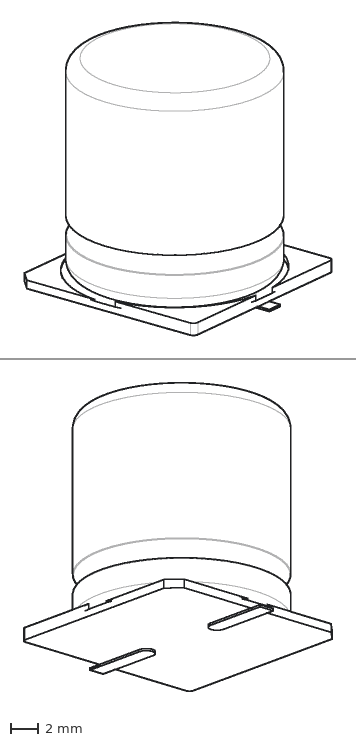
import cadquery as cq
import math

overall_length = 18.6
overall_height = 17.5
base_side = 16.6

terminal_thickness = 0.17
terminal_width = 1.3
terminal_inner_x = 3.22

low_top_z = 0.84
raised_top_z = 1.13
raised_start_x = 0.97
corner_chamfer = 1.05
corner_radius = 0.39
recess_floor_z = 0.7
recess_radius = math.hypot(base_side / 2, raised_start_x)

can_radius = 8.0
can_edge_radius = 1.05
groove_z = 4.35
groove_radius = 0.75
groove_lip_radius = 0.05


def make_terminal():
    """Flat strip along +X with a rounded inner end."""
    half_width = terminal_width / 2
    outer_x = overall_length / 2
    round_center_x = terminal_inner_x + half_width
    return (
        cq.Workplane("XY")
        .moveTo(outer_x, -half_width)
        .lineTo(round_center_x, -half_width)
        .threePointArc((terminal_inner_x, 0), (round_center_x, half_width))
        .lineTo(outer_x, half_width)
        .close()
        .extrude(terminal_thickness)
    )


def make_base():
    """Two-level square plate with a round recess for the can."""
    base = (
        cq.Workplane("XY", origin=(0, 0, terminal_thickness))
        .rect(base_side, base_side)
        .extrude(raised_top_z - terminal_thickness)
    )
    base = base.edges("|Z and <X").chamfer(corner_chamfer)
    base = base.edges("|Z and >X").fillet(corner_radius)

    low_length = base_side / 2 + raised_start_x
    low_cut = (
        cq.Workplane("XY", origin=(0, 0, low_top_z))
        .center(raised_start_x - low_length / 2, 0)
        .rect(low_length, base_side)
        .extrude(raised_top_z - low_top_z)
    )
    recess = (
        cq.Workplane("XY", origin=(0, 0, recess_floor_z))
        .circle(recess_radius)
        .extrude(raised_top_z - recess_floor_z)
    )
    return base.cut(low_cut).cut(recess)


def make_can():
    """Revolved can with rounded ends and a crimp groove."""
    inner_radius = can_radius - can_edge_radius
    edge_diagonal = can_edge_radius * math.sqrt(0.5)
    bottom_round_z = recess_floor_z + can_edge_radius
    top_round_z = overall_height - can_edge_radius
    groove_center_r = can_radius - groove_lip_radius
    lip_offset = groove_radius + groove_lip_radius
    lip_mid_r = groove_center_r + groove_lip_radius * math.sqrt(0.5)
    lip_mid_offset = lip_offset - groove_lip_radius * math.sqrt(0.5)

    return (
        cq.Workplane("XZ")
        .moveTo(0, terminal_thickness)
        .lineTo(inner_radius, terminal_thickness)
        .lineTo(inner_radius, recess_floor_z)
        .threePointArc(
            (inner_radius + edge_diagonal, bottom_round_z - edge_diagonal),
            (can_radius, bottom_round_z),
        )
        .lineTo(can_radius, groove_z - lip_offset)
        .threePointArc(
            (lip_mid_r, groove_z - lip_mid_offset),
            (groove_center_r, groove_z - groove_radius),
        )
        .threePointArc(
            (groove_center_r - groove_radius, groove_z),
            (groove_center_r, groove_z + groove_radius),
        )
        .threePointArc(
            (lip_mid_r, groove_z + lip_mid_offset),
            (can_radius, groove_z + lip_offset),
        )
        .lineTo(can_radius, top_round_z)
        .threePointArc(
            (inner_radius + edge_diagonal, top_round_z + edge_diagonal),
            (inner_radius, overall_height),
        )
        .lineTo(0, overall_height)
        .close()
        .revolve(360, (0, 0, 0), (0, 1, 0))
    )


terminal = make_terminal()
result = make_base().union(make_can())
result = result.union(terminal).union(terminal.mirror("YZ"))